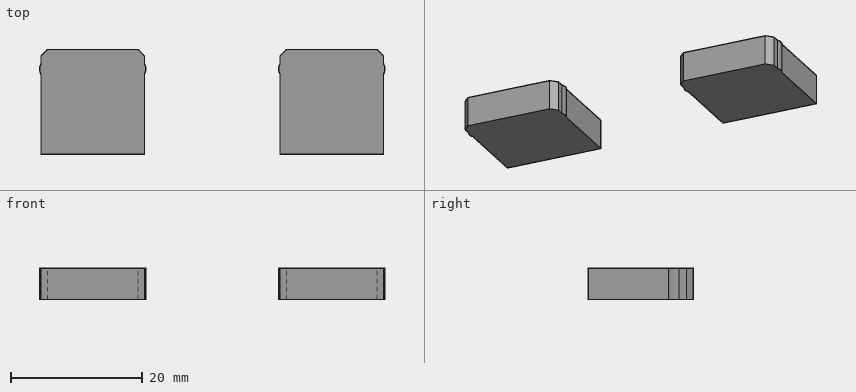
import cadquery as cq

overall_length = 52.6
block_depth = 16.0
block_height = 4.8

block_pitch = 36.4
block_count = 2
bump_height = 0.2
corner_chamfer = 1.0
bump_chord = 1.6
bump_center_from_back = 3.0

block_width = overall_length - block_pitch - 2 * bump_height

side_x = block_width / 2
bump_x = side_x + bump_height
back_y = block_depth / 2
bump_y = back_y - bump_center_from_back
bump_back_y = bump_y + bump_chord / 2
bump_front_y = bump_y - bump_chord / 2


def make_block(center_x):
    """One block, extruded from its outline and centred at center_x."""
    return (
        cq.Workplane("XY")
        .moveTo(-side_x, -back_y)
        .lineTo(side_x, -back_y)
        .lineTo(side_x, bump_front_y)
        .threePointArc((bump_x, bump_y), (side_x, bump_back_y))
        .lineTo(side_x, back_y - corner_chamfer)
        .lineTo(side_x - corner_chamfer, back_y)
        .lineTo(-side_x + corner_chamfer, back_y)
        .lineTo(-side_x, back_y - corner_chamfer)
        .lineTo(-side_x, bump_back_y)
        .threePointArc((-bump_x, bump_y), (-side_x, bump_front_y))
        .close()
        .extrude(block_height)
        .translate((center_x, 0, 0))
    )


blocks = []
for index in range(block_count):
    center_x = (index - (block_count - 1) / 2) * block_pitch
    blocks.append(make_block(center_x).val())

result = cq.Compound.makeCompound(blocks)